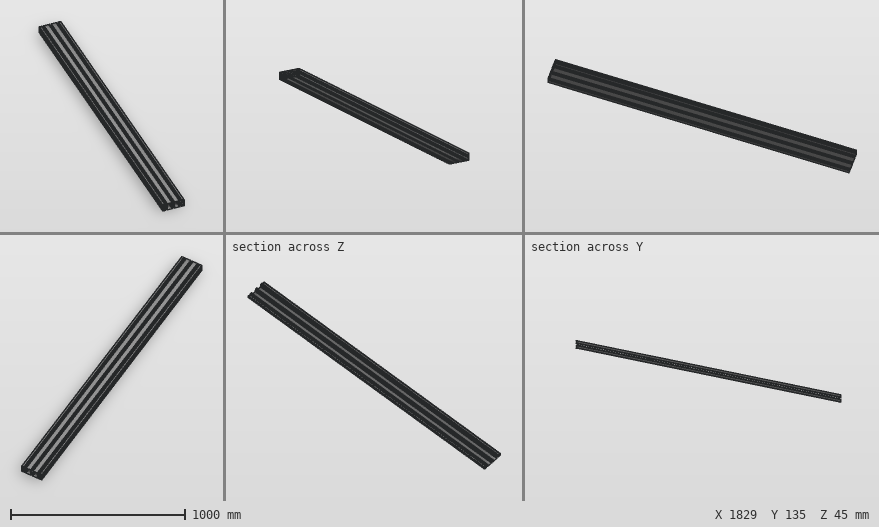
import cadquery as cq

LENGTH = 1829
WIDTH = 135.0
HEIGHT = 45.0
CELL_COUNT = 3
CORNER_RADIUS = 4.0

SLOT_OPENING = 8.2
SLOT_CAVITY_WIDTH = 15.0
SLOT_FLOOR_WIDTH = 9.9
SLOT_DEPTH = 15.4
LIP_THICKNESS = 2.0
SLOT_WALL = 1.6

BORE_DIAMETER = 7.0
CORE_HALF_WIDTH = 7.0
CORE_HALF_HEIGHT = 7.7
KNEE_HEIGHT = 9.9

PITCH = WIDTH / CELL_COUNT
CELL_CENTRES = [(i - (CELL_COUNT - 1) / 2) * PITCH for i in range(CELL_COUNT)]
SLOT_BOX_HALF = SLOT_CAVITY_WIDTH / 2 + SLOT_WALL
SKIN_Y = WIDTH / 2 - LIP_THICKNESS
SKIN_Z = HEIGHT / 2 - LIP_THICKNESS


def section():
    """Workplane on the -X end whose local axes are Y and Z."""
    return cq.Workplane("YZ", origin=(-LENGTH / 2, 0, 0))


def beam_blank():
    return section().rect(WIDTH, HEIGHT).extrude(LENGTH).edges("|X").fillet(CORNER_RADIUS)


def t_slot(centre, surface, turn):
    """Slot cutter with a 45-degree tapered floor, opening at height `surface`, turned about X."""
    half_opening = SLOT_OPENING / 2
    half_cavity = SLOT_CAVITY_WIDTH / 2
    half_floor = SLOT_FLOOR_WIDTH / 2
    shoulder = surface - LIP_THICKNESS
    floor = surface - SLOT_DEPTH
    taper_top = floor + half_cavity - half_floor
    outline = [
        (centre - half_opening, surface),
        (centre - half_opening, shoulder),
        (centre - half_cavity, shoulder),
        (centre - half_cavity, taper_top),
        (centre - half_floor, floor),
        (centre + half_floor, floor),
        (centre + half_cavity, taper_top),
        (centre + half_cavity, shoulder),
        (centre + half_opening, shoulder),
        (centre + half_opening, surface),
    ]
    cutter = section().polyline(outline).close().extrude(LENGTH)
    return cutter.rotate((0, 0, 0), (1, 0, 0), turn)


def middle_chamber(left_cell, right_cell):
    """Chamber between two cells, bulging toward each core at mid-height."""
    left_wall = left_cell + SLOT_BOX_HALF
    right_wall = right_cell - SLOT_BOX_HALF
    left_core = left_cell + CORE_HALF_WIDTH
    right_core = right_cell - CORE_HALF_WIDTH
    outline = [
        (left_wall, SKIN_Z),
        (left_wall, KNEE_HEIGHT),
        (left_core, CORE_HALF_HEIGHT),
        (left_core, -CORE_HALF_HEIGHT),
        (left_wall, -KNEE_HEIGHT),
        (left_wall, -SKIN_Z),
        (right_wall, -SKIN_Z),
        (right_wall, -KNEE_HEIGHT),
        (right_core, -CORE_HALF_HEIGHT),
        (right_core, CORE_HALF_HEIGHT),
        (right_wall, KNEE_HEIGHT),
        (right_wall, SKIN_Z),
    ]
    return section().polyline(outline).close().extrude(LENGTH)


def corner_chambers():
    """Four chambers between the outermost slots and the corners of the beam."""
    inner_y = CELL_CENTRES[-1] + SLOT_BOX_HALF
    inner_z = SLOT_BOX_HALF
    centre_y = (inner_y + SKIN_Y) / 2
    centre_z = (inner_z + SKIN_Z) / 2
    centres = [(side * centre_y, level * centre_z) for side in (-1, 1) for level in (-1, 1)]
    return section().pushPoints(centres).rect(SKIN_Y - inner_y, SKIN_Z - inner_z).extrude(LENGTH)


def core_bores():
    centres = [(centre, 0) for centre in CELL_CENTRES]
    return section().pushPoints(centres).circle(BORE_DIAMETER / 2).extrude(LENGTH)


result = beam_blank()

for cell in CELL_CENTRES:
    for turn in (0, 180):
        result = result.cut(t_slot(cell, HEIGHT / 2, turn))

for turn in (90, -90):
    result = result.cut(t_slot(0, WIDTH / 2, turn))

for left_cell, right_cell in zip(CELL_CENTRES, CELL_CENTRES[1:]):
    result = result.cut(middle_chamber(left_cell, right_cell))

result = result.cut(corner_chambers()).cut(core_bores())